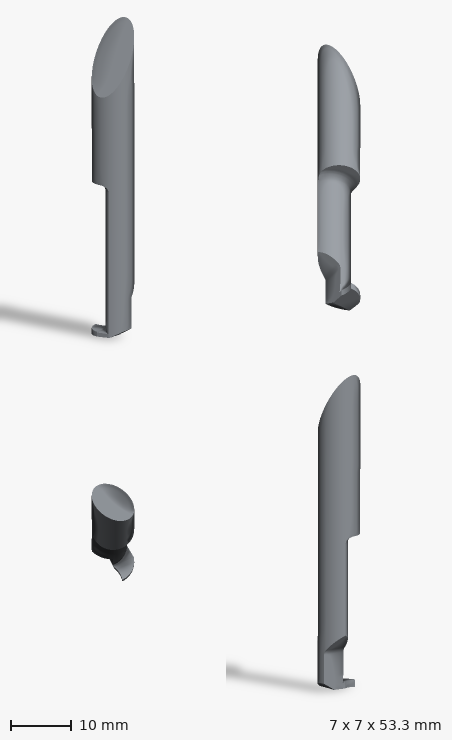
import cadquery as cq
import math

length = 53.3
bar_diameter = 7.0
bar_radius = bar_diameter / 2
end_angle = 60.0

neck_offset = 2.7
neck_top = 26.25
neck_fillet = 1.05
neck_edge_x = neck_offset / 2

rake_y = 0.25
back_slope_top = 10.0
back_fillet = 1.05
foot_bevel_angle = 30.0
foot_bevel_start = 0.25
relief_radius = 3.7
relief_top = 3.2
relief_slope = 0.1

tip_split_x = -0.85
tip_top = 1.2
seat_top = 1.1
rise_along_x = 0.04
rise_along_y = 0.05
top_fall = 0.04
rake_end_x = -1.05
rake_middle_x = -2.4
rake_middle_y = -0.1

margin = 2 * bar_radius
cut_overrun = 0.55


def circle_y(x):
    """Half width of the bar section at x."""
    return math.sqrt(bar_radius**2 - x**2)


def bevelled_slab(top):
    """Layer whose underside rises towards +X and -Y and whose top falls towards -Y."""
    def section(x):
        bottom = rise_along_x * (x + bar_radius)
        return cq.Wire.makePolygon([
            cq.Vector(x, margin, bottom - rise_along_y * margin),
            cq.Vector(x, -margin, bottom + rise_along_y * margin),
            cq.Vector(x, -margin, top - top_fall * margin),
            cq.Vector(x, margin, top + top_fall * margin),
        ], close=True)
    return cq.Workplane(obj=cq.Solid.makeLoft([section(-margin), section(margin)], True))


def make_neck_envelope():
    """Neck cylinder flaring through a fillet into a wide upper part."""
    flare_radius = bar_radius + neck_fillet
    sweep = neck_fillet * math.sqrt(0.5)
    return (
        cq.Workplane("XZ", origin=(neck_offset, 0, 0))
        .moveTo(0, 0)
        .lineTo(bar_radius, 0)
        .lineTo(bar_radius, neck_top - neck_fillet)
        .threePointArc((flare_radius - sweep, neck_top - neck_fillet + sweep), (flare_radius, neck_top))
        .lineTo(2 * margin, neck_top)
        .lineTo(2 * margin, length)
        .lineTo(0, length)
        .close()
        .revolve(360, (0, 0), (0, 1))
    )


def make_relief_cutter():
    """Space outside a tilted cylinder at the foot of the neck, on the -X side."""
    block = cq.Workplane().box(margin + neck_edge_x, 2 * margin, relief_top + cut_overrun, (False, True, False))
    block = block.translate((-margin, 0, 0))
    axis_x = neck_offset - bar_radius + relief_radius
    core = cq.Workplane(obj=cq.Solid.makeCylinder(
        relief_radius, 2 * margin,
        cq.Vector(axis_x + relief_slope * margin, 0, relief_top - margin),
        cq.Vector(-relief_slope, 0, 1),
    ))
    return block.cut(core)


def make_seat():
    """Part of the cutting head that belongs to the bar."""
    return (
        cq.Workplane()
        .moveTo(tip_split_x, rake_y)
        .lineTo(tip_split_x, -circle_y(tip_split_x))
        .lineTo(neck_edge_x, -circle_y(neck_edge_x))
        .lineTo(neck_edge_x, rake_y)
        .close()
        .extrude(seat_top + cut_overrun)
        .intersect(bevelled_slab(seat_top))
    )


def make_back_cutter():
    """Clearance behind the cutting head, with a 45 degree run-out."""
    slope_bottom = back_slope_top - (bar_radius - rake_y)
    return (
        cq.Workplane("YZ")
        .polyline([
            (rake_y, -cut_overrun), (rake_y, slope_bottom),
            (rake_y + margin, slope_bottom + margin), (rake_y + margin, -cut_overrun),
        ])
        .close()
        .extrude(margin, both=True)
        .edges("|X").edges(cq.selectors.NearestToPointSelector((0, rake_y, slope_bottom)))
        .fillet(back_fillet)
    )


def make_foot_cutter():
    """Space below the bar's clearance slope and its bevelled foot."""
    run = margin - neck_edge_x
    rise = run * math.tan(math.radians(foot_bevel_angle))
    return (
        cq.Workplane("XZ")
        .polyline([
            (neck_edge_x, -cut_overrun), (neck_edge_x, foot_bevel_start),
            (margin, foot_bevel_start + rise), (margin, -cut_overrun),
        ])
        .close()
        .extrude(margin, both=True)
    )


def make_end_cutter():
    """Wedge above the slanted top end, highest at +Y."""
    drop = 2 * bar_radius * math.tan(math.radians(end_angle))
    return (
        cq.Workplane("YZ")
        .polyline([
            (bar_radius, length), (-bar_radius, length - drop),
            (-margin, length - drop), (-margin, length),
        ])
        .close()
        .extrude(margin, both=True)
    )


def make_bar():
    stem = cq.Workplane().circle(bar_radius).extrude(length)
    stem = stem.intersect(make_neck_envelope())
    stem = stem.cut(make_relief_cutter())

    stem = stem.intersect(bevelled_slab(length + margin))
    return (
        stem.union(make_seat())
        .cut(make_back_cutter())
        .cut(make_foot_cutter())
        .cut(make_end_cutter())
    )


def make_tip():
    middle = bar_radius * math.sqrt(0.5)
    return (
        cq.Workplane()
        .moveTo(tip_split_x, rake_y)
        .lineTo(rake_end_x, rake_y)
        .threePointArc((rake_middle_x, rake_middle_y), (-bar_radius, 0))
        .threePointArc((-middle, -middle), (tip_split_x, -circle_y(tip_split_x)))
        .close()
        .extrude(tip_top + cut_overrun)
        .intersect(bevelled_slab(tip_top))
    )


bar = make_bar()
tip = make_tip()
result = cq.Compound.makeCompound([bar.val(), tip.val()])